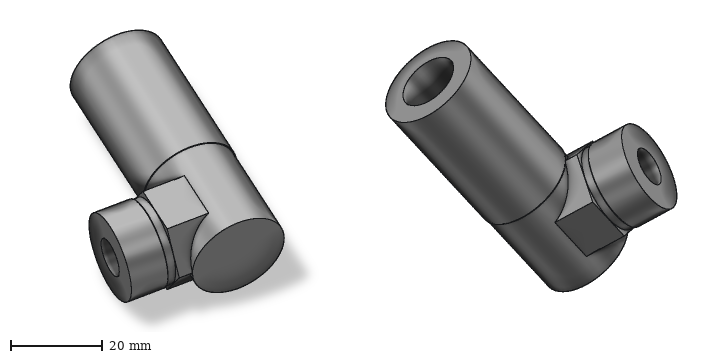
import cadquery as cq

sleeve_diameter = 23.0
sleeve_length = 36.0
socket_diameter = 13.6

body_diameter = 22.5
body_length = 24.0
bore_diameter = 9.0

hex_end_clearance = 0.01
hex_across_corners = body_length - 2 * hex_end_clearance
hex_end = 14.5
neck_diameter = 20.4
neck_end = 16.5
spigot_diameter = 21.0
spigot_end = 25.5

outlet_x = sleeve_length + body_length / 2


def cylinder_along_x(diameter, start, length):
    return cq.Workplane("YZ", origin=(start, 0, 0)).circle(diameter / 2).extrude(length)


def outlet_plane(distance):
    """Workplane facing -Y on the outlet axis, at a distance from the sleeve axis."""
    return cq.Workplane("XZ", origin=(outlet_x, -distance, 0))


def main_tube():
    sleeve = cylinder_along_x(sleeve_diameter, 0, sleeve_length)
    body = cylinder_along_x(body_diameter, sleeve_length, body_length)
    return sleeve.union(body)


def side_outlet():
    hexagon = outlet_plane(0).polygon(6, hex_across_corners).extrude(hex_end)
    neck = outlet_plane(hex_end).circle(neck_diameter / 2).extrude(neck_end - hex_end)
    spigot = outlet_plane(neck_end).circle(spigot_diameter / 2).extrude(spigot_end - neck_end)
    return hexagon.union(neck).union(spigot)


def elbow_passage():
    """Bore from the sleeve to the spigot face, with a mitred right-angle corner."""
    path = cq.Workplane("XY").polyline([(0, 0), (outlet_x, 0), (outlet_x, -spigot_end)])
    return cq.Workplane("YZ").circle(bore_diameter / 2).sweep(path, transition="right")


def socket():
    return cylinder_along_x(socket_diameter, 0, sleeve_length)


result = main_tube().union(side_outlet()).cut(elbow_passage()).cut(socket())